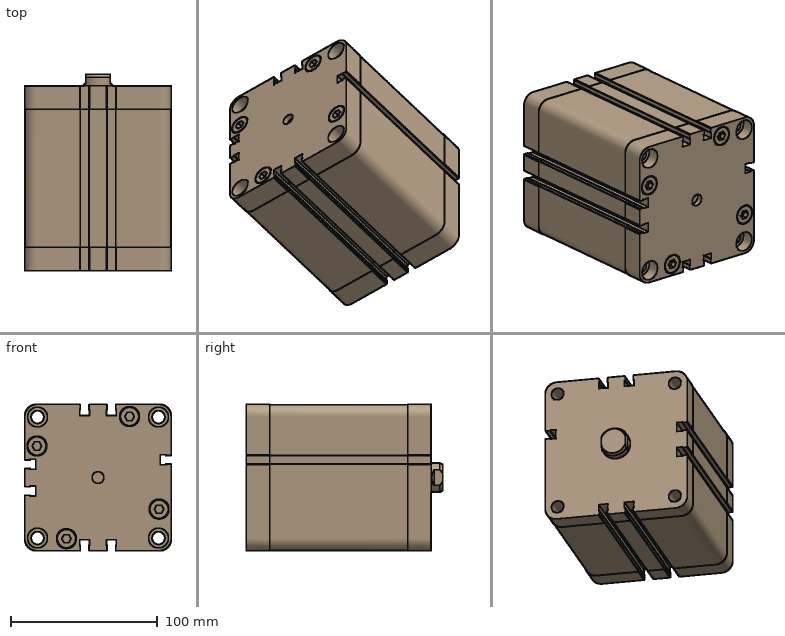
import cadquery as cq
import math

SIDE = 100.0
HALF = SIDE / 2
BODY_LENGTH = 126.0
COVER_LENGTH = 16.0
COVER_STARTS = (0.0, BODY_LENGTH - COVER_LENGTH)
COVER_CORNER_RADIUS = 8.2

BARREL_LENGTH = BODY_LENGTH - 2 * COVER_LENGTH
BARREL_INSET = 0.25
BARREL_SIDE = SIDE - 2 * BARREL_INSET
BARREL_CORNER_RADIUS = COVER_CORNER_RADIUS - BARREL_INSET

SLOT_OPENING = 5.7
SLOT_INNER_WIDTH = 6.6
SLOT_LIP_DEPTH = 3.5
SLOT_DEPTH = 7.6
COVER_LIP_CHAMFER = 0.5
BARREL_LIP_CHAMFER = 0.25
SLOT_OFFSET = 9.1
SINGLE_SLOT_OFFSET = 12.1

MOUNT_OFFSET = 41.2
MOUNT_HOLE_DIAMETER = 8.57
COUNTERBORE_DIAMETER = 13.5
COUNTERBORE_DEPTH = 9.0

SCREW_EDGE_OFFSET = 41.6
SCREW_SIDE_OFFSET = 21.5
SCREW_HEAD_DIAMETER = 12.5
SCREW_HEAD_DEPTH = 8.0
HEX_SIDES = 6
SOCKET_ACROSS_FLATS = 5.6
SOCKET_DEPTH = 4.0

CENTER_HOLE_DIAMETER = 8.0
CENTER_HOLE_DEPTH = 4.2

ROD_DIAMETER = 20.0
ROD_LENGTH = 8.0
ROD_ACROSS_FLATS = 17.0
FLAT_LENGTH = 6.0
ROD_CHAMFER_LENGTH = 2.0
ROD_CHAMFER_ANGLE = 30.0


def along_y(start):
    """XZ workplane at Y = start, whose extrusions run toward +Y."""
    return cq.Workplane(cq.Plane(origin=(0, start, 0), xDir=(-1, 0, 0), normal=(0, 1, 0)))


def front_drill(x, z, diameter, depth):
    """Cylinder entering the front face at (x, z)."""
    return along_y(0).center(-x, z).circle(diameter / 2).extrude(depth)


def rounded_bar(side, corner_radius, start, length):
    """Square bar with rounded corners, centred on the Y axis."""
    bar = along_y(start).rect(side, side).extrude(length)
    return bar.edges("|Y").fillet(corner_radius)


def make_body():
    body = rounded_bar(BARREL_SIDE, BARREL_CORNER_RADIUS, 0, BODY_LENGTH)
    for start in COVER_STARTS:
        body = body.cut(along_y(start).rect(SIDE, SIDE).extrude(COVER_LENGTH))
        body = body.union(rounded_bar(SIDE, COVER_CORNER_RADIUS, start, COVER_LENGTH))
    return body


def make_slot(offset, angle, face_height, start, length, lip_chamfer):
    """T-slot in the top face at X = offset, turned about Y by angle."""
    half_opening = SLOT_OPENING / 2
    half_inner = SLOT_INNER_WIDTH / 2
    half_mouth = half_opening + lip_chamfer
    lip_z = face_height - SLOT_LIP_DEPTH
    floor_z = face_height - SLOT_DEPTH
    right_side = [
        (half_inner, floor_z),
        (half_inner, lip_z),
        (half_opening, lip_z),
        (half_opening, face_height - lip_chamfer),
        (half_mouth, face_height),
    ]
    left_side = [(-x, z) for x, z in reversed(right_side)]
    slot = along_y(start).polyline(right_side + left_side).close().extrude(length)
    return slot.translate((offset, 0, 0)).rotate((0, 0, 0), (0, 1, 0), angle)


def cut_slot(body, offset, angle):
    """Cut one slot through both covers and the barrel, each measured from its own face."""
    for start in COVER_STARTS:
        body = body.cut(make_slot(offset, angle, HALF, start, COVER_LENGTH, COVER_LIP_CHAMFER))
    return body.cut(
        make_slot(offset, angle, BARREL_SIDE / 2, COVER_LENGTH, BARREL_LENGTH, BARREL_LIP_CHAMFER)
    )


def cut_slots(body):
    for angle in (0, 180, -90):
        for offset in (-SLOT_OFFSET, SLOT_OFFSET):
            body = cut_slot(body, offset, angle)
    return cut_slot(body, -SINGLE_SLOT_OFFSET, 90)


def cut_mounting_holes(body):
    for x in (-MOUNT_OFFSET, MOUNT_OFFSET):
        for z in (-MOUNT_OFFSET, MOUNT_OFFSET):
            body = body.cut(front_drill(x, z, MOUNT_HOLE_DIAMETER, BODY_LENGTH))
            body = body.cut(front_drill(x, z, COUNTERBORE_DIAMETER, COUNTERBORE_DEPTH))
    return body


def cut_screws(body):
    """Leave each screw head standing in its counterbore and cut its hex socket."""
    socket_diameter = SOCKET_ACROSS_FLATS / math.cos(math.pi / HEX_SIDES)
    positions = [
        (SCREW_SIDE_OFFSET, SCREW_EDGE_OFFSET),
        (SCREW_EDGE_OFFSET, -SCREW_SIDE_OFFSET),
        (-SCREW_SIDE_OFFSET, -SCREW_EDGE_OFFSET),
        (-SCREW_EDGE_OFFSET, SCREW_SIDE_OFFSET),
    ]
    for x, z in positions:
        recess = front_drill(x, z, COUNTERBORE_DIAMETER, SCREW_HEAD_DEPTH)
        head = front_drill(x, z, SCREW_HEAD_DIAMETER, SCREW_HEAD_DEPTH)
        socket = along_y(0).center(-x, z).polygon(HEX_SIDES, socket_diameter).extrude(SOCKET_DEPTH)
        body = body.cut(recess.cut(head)).cut(socket)
    return body


def make_rod():
    radius = ROD_DIAMETER / 2
    half_flats = ROD_ACROSS_FLATS / 2
    tip_radius = radius - ROD_CHAMFER_LENGTH * math.tan(math.radians(ROD_CHAMFER_ANGLE))
    tip_y = BODY_LENGTH + ROD_LENGTH
    flat_y = tip_y - FLAT_LENGTH
    ramp_y = flat_y - (radius - half_flats)
    half_section = [
        (0, BODY_LENGTH),
        (radius, BODY_LENGTH),
        (radius, tip_y - ROD_CHAMFER_LENGTH),
        (tip_radius, tip_y),
        (0, tip_y),
    ]
    rod = cq.Workplane("XY").polyline(half_section).close().revolve(360, (0, 0), (0, 1))
    flat_cut = [
        (half_flats, tip_y),
        (half_flats, flat_y),
        (radius, ramp_y),
        (radius, tip_y),
    ]
    flat = cq.Workplane("XY").polyline(flat_cut).close().extrude(radius, both=True)
    return rod.cut(flat).cut(flat.mirror("YZ"))


body = make_body()
body = cut_slots(body)
body = cut_mounting_holes(body)
body = cut_screws(body)
body = body.cut(front_drill(0, 0, CENTER_HOLE_DIAMETER, CENTER_HOLE_DEPTH))
result = body.union(make_rod())